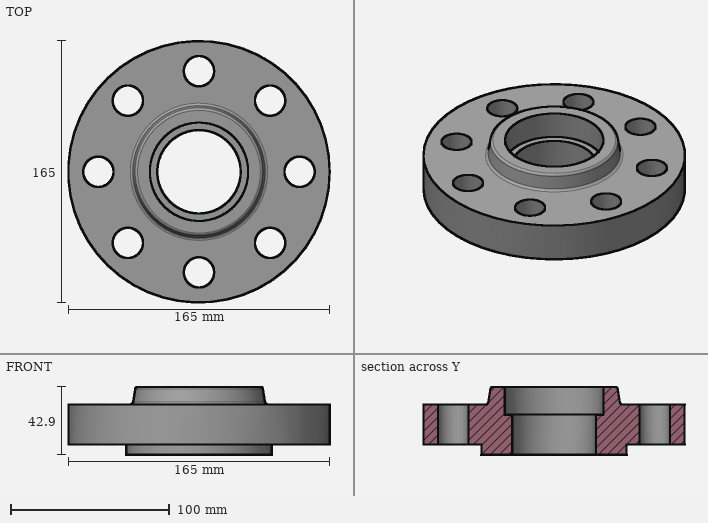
import cadquery as cq

flange_diameter = 165.0
flange_thickness = 25.5

face_diameter = 92.1
face_height = 6.5

total_height = 42.9
hub_base_diameter = 83.8
hub_top_diameter = 80.2
hub_fillet_radius = 1.7

bore_diameter = 52.5
socket_diameter = 62.0
socket_depth = 17.5

bolt_circle_diameter = 127.0
bolt_hole_diameter = 19.0
bolt_hole_count = 8

flange_top = face_height + flange_thickness


def disc(diameter, bottom, height):
    """Upright cylinder about the Z axis."""
    return cq.Workplane("XY").workplane(offset=bottom).circle(diameter / 2).extrude(height)


def tapered_hub():
    """Solid cone frustum from the plate top to the full height."""
    profile = [
        (0, flange_top),
        (hub_base_diameter / 2, flange_top),
        (hub_top_diameter / 2, total_height),
        (0, total_height),
    ]
    return cq.Workplane("XZ").polyline(profile).close().revolve(360, (0, 0, 0), (0, 1, 0))


def bolt_holes():
    """Cutters evenly spaced on the bolt circle, the first one on the +X axis."""
    return (
        cq.Workplane("XY")
        .polarArray(bolt_circle_diameter / 2, 0, 360, bolt_hole_count)
        .circle(bolt_hole_diameter / 2)
        .extrude(total_height)
    )


raised_face = disc(face_diameter, 0, face_height)
flange = disc(flange_diameter, face_height, flange_thickness)
body = raised_face.union(flange).union(tapered_hub())

body = body.faces(">Z").edges().fillet(hub_fillet_radius)

plate_top_face = cq.selectors.NearestToPointSelector((0, 0, flange_top))
hub_root_edge = cq.selectors.RadiusNthSelector(0)
body = body.faces(plate_top_face).edges(hub_root_edge).fillet(hub_fillet_radius)

bore = disc(bore_diameter, 0, total_height)
socket = disc(socket_diameter, total_height - socket_depth, socket_depth)

result = body.cut(bore).cut(socket).cut(bolt_holes())